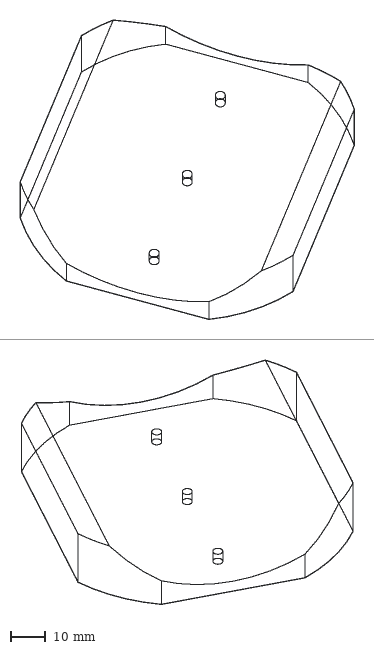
import cadquery as cq

width = 83.2
length = 90.1
height = 17.6

corner_radius = 50.0

trough_radius = 50.0
floor_thickness = 3.6

hole_diameter = 2.9
hole_spacing = 30.0
hole_count = 3


def trimmed_block():
    block = cq.Workplane("XY").box(width, length, height, centered=(True, True, False))
    corner_cylinder = cq.Workplane("XY").circle(corner_radius).extrude(height)
    return block.intersect(corner_cylinder)


def trough():
    axis_height = floor_thickness + trough_radius
    return (
        cq.Workplane("XZ")
        .center(0, axis_height)
        .circle(trough_radius)
        .extrude(length / 2, both=True)
    )


def floor_holes():
    return (
        cq.Workplane("XY")
        .rarray(0.9, hole_spacing, 1, hole_count)
        .circle(hole_diameter / 2)
        .extrude(height)
    )


result = trimmed_block().cut(trough()).cut(floor_holes())